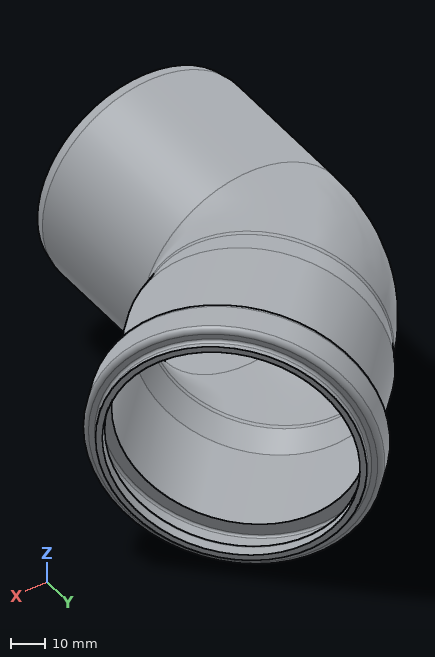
import cadquery as cq
import math

spigot_outer_radius = 75.3 / 2
pipe_inner_radius = 71.0 / 2
spigot_length = 54.2
spigot_chamfer_length = 3.5
spigot_chamfer_depth = 0.7
bend_radius = 36.0
bend_angle = 45

socket_outer_radius = 80.0 / 2
socket_inner_radius = 76.0 / 2
collar_length = 1.5
taper_length = 9.0
socket_body_length = 30.9
seal_ring_length = 12.3
lip_length = 2.7

seal_ring_radius = 89.2 / 2
seal_groove_radius = 85.2 / 2
lip_outer_radius = 80.3 / 2
lip_inner_radius = 76.3 / 2
ring_fillet = 1.8
ring_root_fillet = 0.9
groove_back_wall = 1.0
groove_front_wall = 2.0
groove_fillet = 0.7
lip_inner_fillet = 0.9

edge_tolerance = 0.001

taper_end = collar_length + taper_length
ring_start = taper_end + socket_body_length
ring_end = ring_start + seal_ring_length
socket_end = ring_end + lip_length
groove_start = ring_start + groove_back_wall
groove_end = ring_end - groove_front_wall


def revolve_profile(points):
    """Turn (radius, axial position) points about the Y axis."""
    return cq.Workplane("XY").polyline(points).close().revolve(360, (0, 0, 0), (0, 1, 0))


def fillet_circle(body, radius, position, fillet_radius):
    """Round the circular edge of the given radius around the Y axis at an axial position."""
    edges = body.edges("%CIRCLE").filter(
        lambda edge: math.isclose(edge.radius(), radius, abs_tol=edge_tolerance)
        and math.isclose(edge.Center().y, position, abs_tol=edge_tolerance)
    )
    return edges.fillet(fillet_radius)


def make_bend(radius):
    """Turn a round section, from the inner end of the spigot, about the bend axis.

    A section that reaches past the bend axis is cut off there, so the tube does not cross itself.
    """
    section = cq.Workplane("XZ", origin=(0, spigot_length, 0))
    if radius > bend_radius:
        cut_z = math.sqrt(radius**2 - bend_radius**2)
        section = section.moveTo(bend_radius, cut_z).threePointArc((-radius, 0), (bend_radius, -cut_z)).close()
    else:
        section = section.circle(radius)
    return section.revolve(bend_angle, (bend_radius, 1.5, 0), (bend_radius, 0, 0))


def place_on_bend_end(body):
    """Move a body built along +Y from the origin to the end of the bend."""
    angle = math.radians(bend_angle)
    x = bend_radius * (1 - math.cos(angle))
    y = spigot_length + bend_radius * math.sin(angle)
    return body.rotate((0, 0, 0), (0, 0, 1), -bend_angle).translate((x, y, 0))


def make_spigot():
    return revolve_profile([
        (pipe_inner_radius, 0),
        (spigot_outer_radius - spigot_chamfer_depth, 0),
        (spigot_outer_radius, spigot_chamfer_length),
        (spigot_outer_radius, spigot_length),
        (pipe_inner_radius, spigot_length),
    ])


def make_socket_outside():
    body = revolve_profile([
        (0, 0),
        (spigot_outer_radius, 0),
        (spigot_outer_radius, collar_length),
        (socket_outer_radius, taper_end),
        (socket_outer_radius, ring_start),
        (seal_ring_radius, ring_start),
        (seal_ring_radius, ring_end),
        (lip_outer_radius, ring_end),
        (lip_outer_radius, socket_end),
        (0, socket_end),
    ])
    body = fillet_circle(body, seal_ring_radius, ring_start, ring_fillet)
    body = fillet_circle(body, seal_ring_radius, ring_end, ring_fillet)
    body = fillet_circle(body, socket_outer_radius, ring_start, ring_root_fillet)
    return fillet_circle(body, lip_outer_radius, ring_end, ring_root_fillet)


def make_socket_bore():
    bore = revolve_profile([
        (0, 0),
        (pipe_inner_radius, 0),
        (pipe_inner_radius, collar_length),
        (socket_inner_radius, taper_end),
        (socket_inner_radius, groove_end),
        (lip_inner_radius, groove_end),
        (lip_inner_radius, socket_end),
        (0, socket_end),
    ])
    groove = revolve_profile([
        (0, groove_start),
        (seal_groove_radius, groove_start),
        (seal_groove_radius, groove_end),
        (0, groove_end),
    ]).edges().fillet(groove_fillet)
    bore = bore.union(groove)
    return fillet_circle(bore, lip_inner_radius, groove_end, lip_inner_fillet)


bend = make_bend(spigot_outer_radius).cut(make_bend(pipe_inner_radius))
socket = place_on_bend_end(make_socket_outside().cut(make_socket_bore()))
result = make_spigot().union(bend).union(socket)